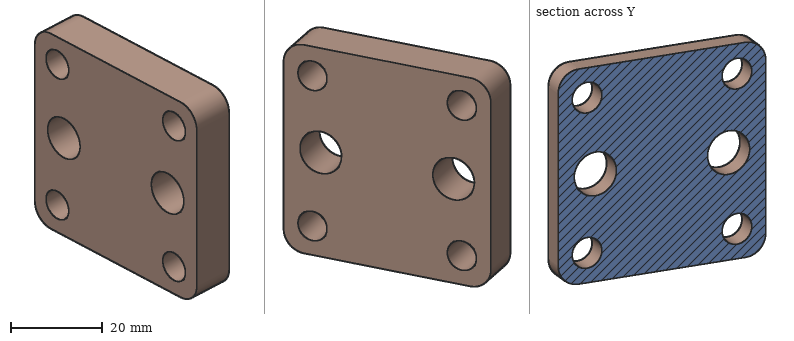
import cadquery as cq

side = 50.0
thickness = 10.0
corner_radius = 5.0

corner_hole_diameter = 7.0
corner_hole_spacing = 36.0
middle_hole_diameter = 10.0
middle_hole_spacing = 32.0

plate = (
    cq.Workplane("XZ")
    .rect(side, side)
    .extrude(thickness / 2, both=True)
    .edges("|Y")
    .fillet(corner_radius)
)

plate = (
    plate.faces("<Y")
    .workplane(centerOption="CenterOfBoundBox")
    .rect(corner_hole_spacing, corner_hole_spacing, forConstruction=True)
    .vertices()
    .hole(corner_hole_diameter)
)

result = (
    plate.faces("<Y")
    .workplane(centerOption="CenterOfBoundBox")
    .pushPoints([(-middle_hole_spacing / 2, 0), (middle_hole_spacing / 2, 0)])
    .hole(middle_hole_diameter)
)